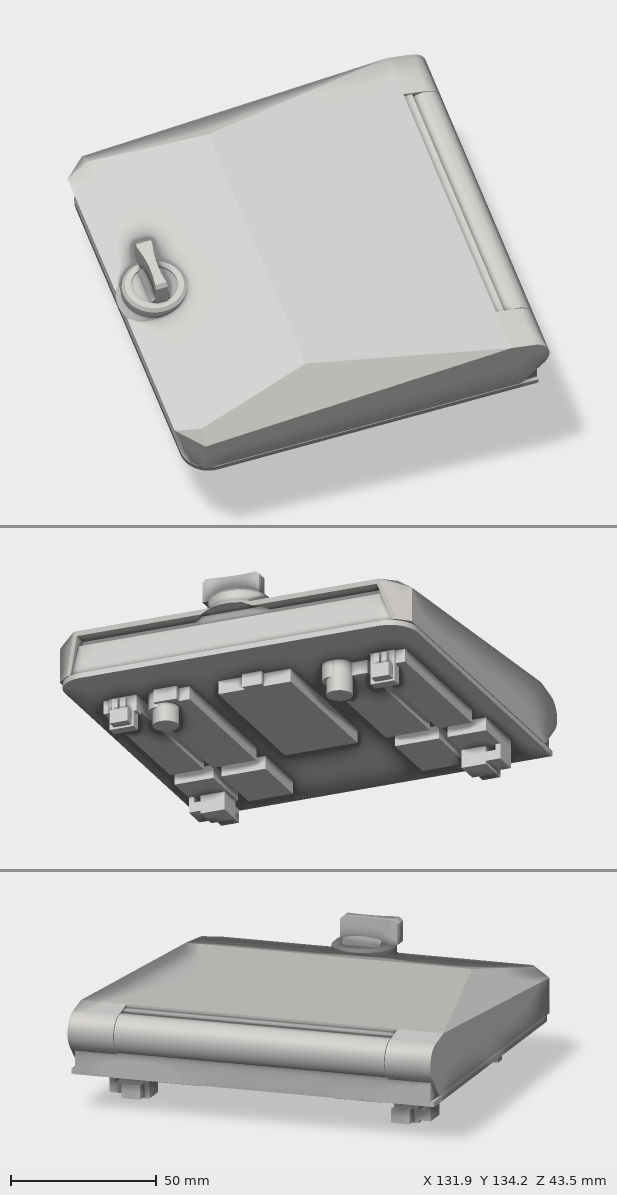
import cadquery as cq
import math

WIDTH = 131.9
HALF_WIDTH = WIDTH / 2
REAR_Y = 67.1
FRONT_Y = -67.1
FOOT_BOTTOM = -11.5
KNOB_TOP = 32.0

PLATE_THICKNESS = 1.9
PLATE_FRONT_Y = -63.3
BASE_REAR_Y = 63
PLATE_CORNER_RADIUS = 10.0
BASE_CORNER_RADIUS = 9.0
BASE_INSET = 1.3
BASE_TOP = 12.6

LID_BOTTOM = 2.3
LIP_Y = -65.9
LIP_Z = 16.5
FRONT_FOOT_Y = -61.6
RIDGE_Y = -16.6
RIDGE_Z = 27.4
TOP_REAR_Y = 53.3
TOP_REAR_Z = 23.7
HINGE_RADIUS = 6.8
HINGE_Y = REAR_Y - HINGE_RADIUS
HINGE_Z = 15.3
HINGE_TOP_Y = 61.5

RIDGE_HALF = 52.0
SIDE_FRONT_Y = -57.7
SIDE_FRONT_Z = 14.9
FACET_HALF = 60.6
LIP_HALF = 57.1

OPENING_TOP_HALF = 56.2
OPENING_BOTTOM_HALF = 60.2
OPENING_TOP = 14.9
OPENING_BACK_Y = -59.8

BARREL_LENGTH = 98.2
BARREL_GAP = 0.3
POCKET_Y = 56.3
SHELF_Z = 22.5

KNOB_Y = -53.8
KNOB_RADIUS = 11.3
SKIRT_RADIUS = KNOB_Y - FRONT_Y
SKIRT_BOTTOM = 16.6
DISC_BOTTOM = SKIRT_BOTTOM + SKIRT_RADIUS - KNOB_RADIUS
DISC_TOP = 23.0
DISC_CHAMFER = 1.1
DIAL_RADIUS = 8
DIAL_DEPTH = 0.7
GRIP_LEFT = -13.0
GRIP_RIGHT = 8
GRIP_BOTTOM = 23.5
GRIP_CHAMFER = 1.2
GRIP_END_WIDTH = 5.5
GRIP_WAIST_WIDTH = 3.0
GRIP_TIP_WIDTH = 4.4
GRIP_END_LENGTH = 2.5
FAIRING_LENGTH = 14.0
FAIRING_WIDTH = 7.5
FAIRING_TOP = 25.1

PAD_DEPTH = 4.8
PAD_NOSE_Y = -44.0
FRONT_PAD_Y = -41.7
PAD_SPLIT_FRONT = 15.5
PAD_SPLIT_REAR = 23.5
PAD_REAR_Y = 46.8
CENTRE_PAD_HALF = 13.5
CENTRE_NOSE_HALF = 3.6
PAD_INNER = 43.9
MIDDLE_PAD_INNER = 24.3
MIDDLE_PAD_OUTER = 40.8
LEFT_PAD_OUTER = -36.9
LEFT_PAD_STEP = -28.2

POST_RADIUS = 4.5
POST_XS = (-34.7, 30.3)
POST_Y = -38.1
COLLAR_SHIFT = -1.6
COLLAR_BOTTOM = -6.0

CLAW_LEFT_EDGES = (-53.9, 43.9)
CLAW_WIDTH = 9.0
CLAW_FRONT_Y = -42.5
CLAW_FRONT_BACK_Y = -38.6
CLAW_REAR_FRONT_Y = 35.7
CLAW_REAR_Y = 44.8
HOOK_INNER = 45.6
HOOK_OUTER = 52.3
HOOK_FRONT_Y = -46.3
HOOK_REAR_Y = 49.6
HOOK_TOP = -5.9
HOOK_BOTTOM = -10.9
RIB_OFFSETS = (0, 3.0)
RIB_WIDTH = 2.0
RIB_TOP = -1.0
ARM_OUTER = 58.4
ARM_WALL = 1.9
ARM_BAR_TOP = -7.0
ARM_BOTTOM = -10.5


def box(x0, x1, y0, y1, z0, z1):
    """Box between two opposite corners."""
    return cq.Workplane("XY").box(x1 - x0, y1 - y0, z1 - z0, centered=False).translate((x0, y0, z0))


def mirrored_box(x0, x1, y0, y1, z0, z1):
    """Box together with its mirror image across the YZ plane."""
    solid = box(x0, x1, y0, y1, z0, z1)
    return solid.union(solid.mirror("YZ"))


def cylinder(x, y, radius, z0, z1):
    """Upright cylinder."""
    return cq.Workplane("XY", origin=(x, y, z0)).circle(radius).extrude(z1 - z0)


def cone(radius_bottom, radius_top, z0, z1):
    """Cone on the knob axis."""
    solid = cq.Solid.makeCone(radius_bottom, radius_top, z1 - z0, cq.Vector(0, KNOB_Y, z0))
    return cq.Workplane(obj=solid)


def block_beyond(p, q, r):
    """Large block on the outward (+X) side of the plane through three points."""
    origin = cq.Vector(*p)
    along = cq.Vector(*q) - origin
    normal = along.cross(cq.Vector(*r) - origin)
    if normal.x < 0:
        normal = normal * -1
    plane = cq.Plane(origin=origin, xDir=along, normal=normal)
    return cq.Workplane(plane).rect(4 * WIDTH, 4 * WIDTH).extrude(WIDTH)


def make_base():
    plate = box(-HALF_WIDTH, HALF_WIDTH, PLATE_FRONT_Y, BASE_REAR_Y, 0, PLATE_THICKNESS)
    inner = box(-HALF_WIDTH + BASE_INSET, HALF_WIDTH - BASE_INSET,
                PLATE_FRONT_Y + BASE_INSET, BASE_REAR_Y, 0, BASE_TOP)
    plate = plate.edges("|Z and <Y").fillet(PLATE_CORNER_RADIUS)
    inner = inner.edges("|Z and <Y").fillet(BASE_CORNER_RADIUS)
    return plate.union(inner)


def make_lid():
    hinge_top_z = HINGE_Z + math.sqrt(HINGE_RADIUS**2 - (HINGE_TOP_Y - HINGE_Y)**2)
    reach = HINGE_RADIUS * math.sqrt(0.5)
    run_out_y = HINGE_Y + reach
    run_out_z = HINGE_Z - reach
    lid = (
        cq.Workplane("YZ", origin=(-HALF_WIDTH, 0, 0))
        .moveTo(FRONT_FOOT_Y, LID_BOTTOM)
        .lineTo(LIP_Y, LIP_Z)
        .lineTo(RIDGE_Y, RIDGE_Z)
        .lineTo(TOP_REAR_Y, TOP_REAR_Z)
        .lineTo(HINGE_TOP_Y, hinge_top_z)
        .threePointArc((REAR_Y, HINGE_Z), (run_out_y, run_out_z))
        .lineTo(run_out_y - (run_out_z - LID_BOTTOM), LID_BOTTOM)
        .close()
        .extrude(WIDTH)
    )

    side_front = (HALF_WIDTH, SIDE_FRONT_Y, SIDE_FRONT_Z)
    facet_rear = (FACET_HALF, SIDE_FRONT_Y,
                  LIP_Z + (RIDGE_Z - LIP_Z) * (SIDE_FRONT_Y - LIP_Y) / (RIDGE_Y - LIP_Y))
    lip_corner = (LIP_HALF, LIP_Y, LIP_Z)
    corner_foot = (HALF_WIDTH, SIDE_FRONT_Y, LID_BOTTOM)
    cutters = (
        block_beyond((HALF_WIDTH, TOP_REAR_Y, TOP_REAR_Z), (RIDGE_HALF, RIDGE_Y, RIDGE_Z), side_front),
        block_beyond(side_front, lip_corner, corner_foot),
        block_beyond(side_front, lip_corner, facet_rear),
    )
    for cutter in cutters:
        lid = lid.cut(cutter).cut(cutter.mirror("YZ"))

    depth = OPENING_BACK_Y - FRONT_Y
    opening = (
        cq.Workplane("XZ", origin=(0, OPENING_BACK_Y, 0))
        .polyline([
            (-OPENING_BOTTOM_HALF, LID_BOTTOM),
            (OPENING_BOTTOM_HALF, LID_BOTTOM),
            (OPENING_TOP_HALF, OPENING_TOP),
            (-OPENING_TOP_HALF, OPENING_TOP),
        ])
        .close()
        .extrude(depth)
    )
    skirt_height = SKIRT_BOTTOM - OPENING_TOP
    clearance = cone(SKIRT_RADIUS + skirt_height, SKIRT_RADIUS, OPENING_TOP, SKIRT_BOTTOM)
    clearance = clearance.intersect(
        box(-HALF_WIDTH, HALF_WIDTH, FRONT_Y, OPENING_BACK_Y, OPENING_TOP, SKIRT_BOTTOM))
    lid = lid.cut(opening).cut(clearance)

    half_pocket = BARREL_LENGTH / 2 + BARREL_GAP
    lid = lid.cut(box(-half_pocket, half_pocket, TOP_REAR_Y, REAR_Y, SHELF_Z, RIDGE_Z))
    lid = lid.cut(box(-half_pocket, half_pocket, POCKET_Y, REAR_Y, LID_BOTTOM, RIDGE_Z))
    barrel = (
        cq.Workplane("YZ", origin=(-BARREL_LENGTH / 2, 0, 0))
        .center(HINGE_Y, HINGE_Z)
        .circle(HINGE_RADIUS)
        .extrude(BARREL_LENGTH)
    )
    return lid.union(barrel)


def make_knob():
    skirt = cone(SKIRT_RADIUS, KNOB_RADIUS, SKIRT_BOTTOM, DISC_BOTTOM)
    disc = cylinder(0, KNOB_Y, KNOB_RADIUS, DISC_BOTTOM, DISC_TOP).faces(">Z").chamfer(DISC_CHAMFER)
    dial = cylinder(0, KNOB_Y, DIAL_RADIUS, DISC_TOP - DIAL_DEPTH, DISC_TOP)

    waist_start = GRIP_LEFT + GRIP_END_LENGTH
    waist_middle = (waist_start + GRIP_RIGHT) / 2
    grip_floor = DISC_TOP - DIAL_DEPTH
    grip = (
        cq.Workplane("XY", origin=(0, KNOB_Y, grip_floor))
        .moveTo(GRIP_LEFT, -GRIP_END_WIDTH / 2)
        .lineTo(waist_start, -GRIP_END_WIDTH / 2)
        .threePointArc((waist_middle, -GRIP_WAIST_WIDTH / 2), (GRIP_RIGHT, -GRIP_TIP_WIDTH / 2))
        .lineTo(GRIP_RIGHT, GRIP_TIP_WIDTH / 2)
        .threePointArc((waist_middle, GRIP_WAIST_WIDTH / 2), (waist_start, GRIP_END_WIDTH / 2))
        .lineTo(GRIP_LEFT, GRIP_END_WIDTH / 2)
        .close()
        .extrude(KNOB_TOP - grip_floor)
    )
    outline = (
        cq.Workplane("XZ", origin=(0, KNOB_Y + KNOB_RADIUS, 0))
        .polyline([
            (GRIP_LEFT, GRIP_BOTTOM),
            (-DIAL_RADIUS, GRIP_BOTTOM),
            (-DIAL_RADIUS, grip_floor),
            (GRIP_RIGHT, grip_floor),
            (GRIP_RIGHT, KNOB_TOP - GRIP_CHAMFER),
            (GRIP_RIGHT - GRIP_CHAMFER, KNOB_TOP),
            (GRIP_LEFT + GRIP_CHAMFER, KNOB_TOP),
            (GRIP_LEFT, KNOB_TOP - GRIP_CHAMFER),
        ])
        .close()
        .extrude(2 * KNOB_RADIUS)
    )
    fairing = (
        cq.Workplane("XY", origin=(0, KNOB_Y, grip_floor))
        .rect(FAIRING_LENGTH, FAIRING_WIDTH)
        .workplane(offset=FAIRING_TOP - grip_floor)
        .rect(FAIRING_LENGTH, GRIP_WAIST_WIDTH)
        .loft()
    )
    return skirt.union(disc).cut(dial).union(grip.intersect(outline)).union(fairing)


def make_pads():
    pads = box(-CENTRE_PAD_HALF, CENTRE_PAD_HALF, FRONT_PAD_Y, PAD_SPLIT_FRONT, -PAD_DEPTH, 0)
    pads = pads.union(
        box(-CENTRE_NOSE_HALF, CENTRE_NOSE_HALF, PAD_NOSE_Y, PAD_SPLIT_FRONT, -PAD_DEPTH, 0))
    side_pads = (
        (PAD_INNER, ARM_OUTER - ARM_WALL, FRONT_PAD_Y, PAD_SPLIT_FRONT),
        (PAD_INNER, ARM_OUTER, PAD_SPLIT_REAR, CLAW_REAR_Y),
        (MIDDLE_PAD_INNER, MIDDLE_PAD_OUTER, POST_Y, PAD_SPLIT_FRONT),
        (MIDDLE_PAD_INNER, MIDDLE_PAD_OUTER, PAD_SPLIT_REAR, PAD_REAR_Y),
    )
    for x0, x1, y0, y1 in side_pads:
        pads = pads.union(mirrored_box(x0, x1, y0, y1, -PAD_DEPTH, 0))
    pads = pads.union(
        box(LEFT_PAD_OUTER, LEFT_PAD_STEP, PAD_NOSE_Y, POST_Y, -PAD_DEPTH, 0))
    return pads.union(
        box(LEFT_PAD_STEP, -MIDDLE_PAD_INNER, FRONT_PAD_Y, POST_Y, -PAD_DEPTH, 0))


def make_posts():
    """Round posts, each with a shorter collar set slightly to the left."""
    posts = cq.Workplane("XY")
    for x in POST_XS:
        post = cylinder(x, POST_Y, POST_RADIUS, FOOT_BOTTOM, 0)
        collar = cylinder(x + COLLAR_SHIFT, POST_Y, POST_RADIUS, COLLAR_BOTTOM, 0)
        posts = posts.add(post.union(collar))
    return posts.combine()


def make_claw_legs(y0, y1):
    """Left and right claw legs; the right one is a shifted copy, not a mirror image."""
    left, right = (box(x, x + CLAW_WIDTH, y0, y1, FOOT_BOTTOM, 0) for x in CLAW_LEFT_EDGES)
    return left.union(right)


def make_front_claws():
    claws = mirrored_box(PAD_INNER, HOOK_OUTER, CLAW_FRONT_Y, CLAW_FRONT_BACK_Y, HOOK_TOP, 0)
    claws = claws.union(make_claw_legs(CLAW_FRONT_Y, CLAW_FRONT_BACK_Y))
    claws = claws.union(
        mirrored_box(HOOK_INNER, HOOK_OUTER, HOOK_FRONT_Y, CLAW_FRONT_Y, HOOK_BOTTOM, HOOK_TOP))
    for stem_left in (-HOOK_OUTER, HOOK_INNER):
        for offset in RIB_OFFSETS:
            rib_left = stem_left + offset
            claws = claws.union(
                box(rib_left, rib_left + RIB_WIDTH, PAD_NOSE_Y, CLAW_FRONT_Y, HOOK_TOP, RIB_TOP))
    return claws


def make_rear_claws():
    claws = make_claw_legs(CLAW_REAR_FRONT_Y, CLAW_REAR_Y)
    claws = claws.union(
        mirrored_box(HOOK_INNER, HOOK_OUTER, CLAW_REAR_Y, HOOK_REAR_Y, HOOK_BOTTOM, HOOK_TOP))
    claws = claws.union(
        mirrored_box(ARM_OUTER - ARM_WALL, ARM_OUTER, CLAW_REAR_FRONT_Y, CLAW_REAR_Y, ARM_BOTTOM, 0))
    return claws.union(
        mirrored_box(HOOK_OUTER, ARM_OUTER, CLAW_REAR_FRONT_Y, CLAW_REAR_Y, ARM_BOTTOM, ARM_BAR_TOP))


result = (
    make_base()
    .union(make_lid())
    .union(make_knob())
    .union(make_pads())
    .union(make_posts())
    .union(make_front_claws())
    .union(make_rear_claws())
)